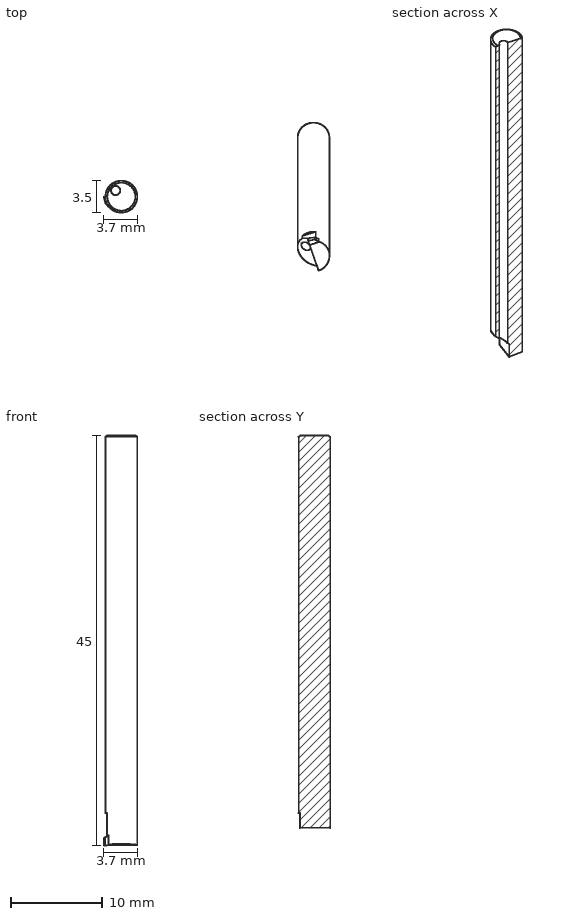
import cadquery as cq

length = 45.0
shank_diameter = 3.5
radius = shank_diameter / 2
chamfer_height = 0.15
chamfer_width = 0.22

coolant_diameter = 1.0
coolant_x = -0.65
coolant_y = 0.68

gullet_top = 3.7
gullet_bottom = gullet_top - radius

end_height = 0.1
end_rise = 0.15

flat_x = -1.58
flat_top = 3.6

tip_x = -1.95
tip_corner_x = -1.85
tip_root_x = -1.35
tip_outer_top = 0.85
tip_root_top = 1.15
heel_x = -1.75
heel_y = -0.7
tail_x = -1.45
tail_y = -1.1


def make_shank():
    blank = cq.Workplane("XY").circle(radius).extrude(length)
    chamfer_edge = blank.faces(">Z").edges()
    return chamfer_edge.chamfer(chamfer_height, chamfer_width)


def make_side_envelope():
    """Side profile (Y, Z) with the gullet and the sloping end face."""
    profile = [
        (0, end_height),
        (0, gullet_bottom),
        (radius, gullet_top),
        (radius, length),
        (-radius, length),
        (-radius, end_height + end_rise),
    ]
    return cq.Workplane("YZ").polyline(profile).close().extrude(radius, both=True)


def make_flank_cutter():
    flank = cq.Workplane("XY").box(radius, shank_diameter, flat_top, centered=(False, True, False))
    return flank.translate((flat_x - radius, 0, 0))


def make_tip():
    """Tip with side relief in plan, limited by its front and end clearance profiles."""
    plan = [(tip_root_x, 0), (tip_x, 0), (heel_x, heel_y), (tail_x, tail_y), (tip_root_x, tail_y)]
    front = [
        (tip_root_x, end_height),
        (tip_corner_x, 0),
        (tip_x, end_height),
        (tip_x, tip_outer_top),
        (tip_root_x, tip_root_top),
    ]
    tail_rise = end_rise * -tail_y / radius
    side = [(0, 0), (tail_y, tail_rise), (tail_y, tip_root_top), (0, tip_root_top)]
    plan_prism = cq.Workplane("XY").polyline(plan).close().extrude(tip_root_top)
    front_prism = cq.Workplane("XZ").polyline(front).close().extrude(-tail_y)
    side_prism = cq.Workplane("YZ").polyline(side).close().extrude(tip_x)
    return plan_prism.intersect(front_prism).intersect(side_prism)


coolant_hole = cq.Workplane("XY").center(coolant_x, coolant_y).circle(coolant_diameter / 2).extrude(length)

bar = make_shank().intersect(make_side_envelope())
bar = bar.cut(make_flank_cutter()).cut(coolant_hole)
result = bar.union(make_tip())